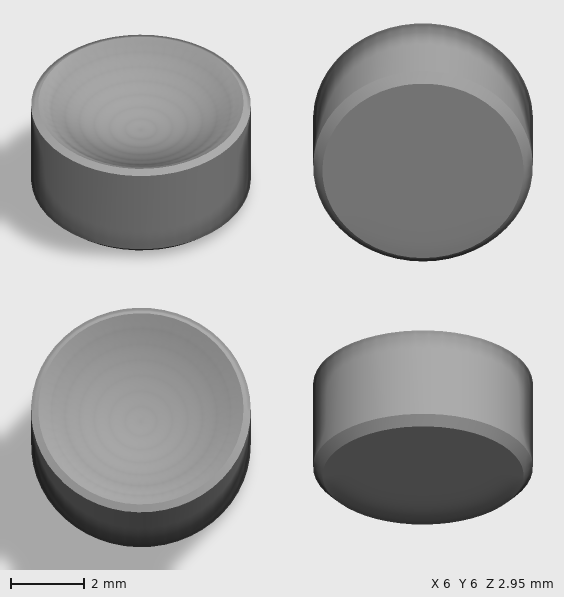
import cadquery as cq

outer_radius = 3.0
height = 2.95
top_bevel_width = 0.2
top_bevel_height = 0.09
bottom_chamfer = 0.25
dish_depth = 0.96

rim_radius = outer_radius - top_bevel_width
sphere_radius = (rim_radius**2 + dish_depth**2) / (2 * dish_depth)

body = (
    cq.Workplane("XY")
    .circle(outer_radius)
    .extrude(height)
    .faces("<Z")
    .edges()
    .chamfer(bottom_chamfer)
    .faces(">Z")
    .edges()
    .chamfer(top_bevel_height, top_bevel_width)
)

sphere_center_height = height - dish_depth + sphere_radius
dish = cq.Workplane("XY").sphere(sphere_radius).translate((0, 0, sphere_center_height))

result = body.cut(dish)